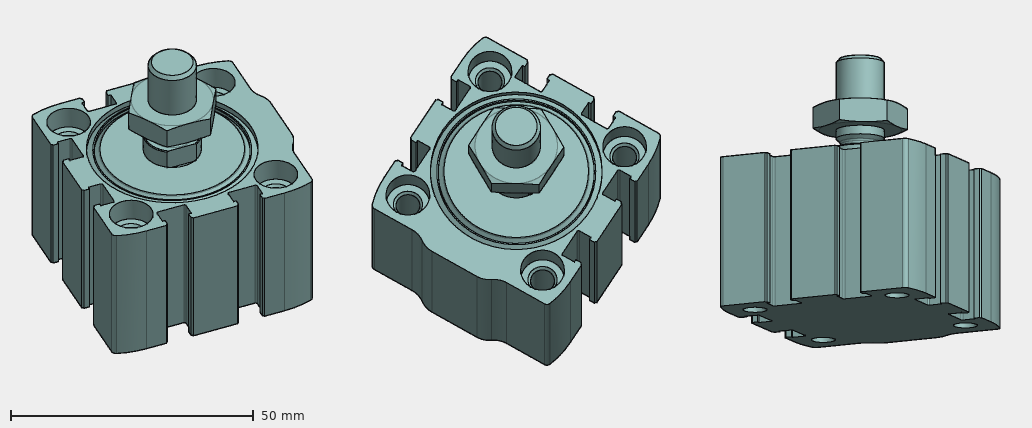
import cadquery as cq
import math

width = 45.0
half_width = width / 2
body_height = 31.5
side_flat_half = 15.5
side_curve_radius = 20.0
corner_radius = 1.0
pad_height = 2.0
pad_flat_half = 5.4
pad_foot_half = 11.4

slot_spacing = 16.0
slot_mouth = 5.3
slot_inner = 6.5
slot_depth = 4.7
slot_lip = 1.6
slot_radius = 0.35

mount_spacing = 32.5
counterbore_diameter = 9.0
counterbore_depth = 5.0
mount_hole_diameter = 4.92
mount_mouth_diameter = 6.0

recess_radius = 35.4 / 2
recess_depth = 1.3
ring_crest_radius = 16.4
ring_crest_drop = 0.5
ring_inner_radius = 16.1
cap_shoulder_radius = 15.1
cap_shoulder_drop = 0.35
cap_bevel_angle = 41.0
cap_face_radius = 14.9
cap_face_drop = 0.2

rod_diameter = 12.0
rod_embed = 10.0
collar_length = 4.0
collar_top = body_height + collar_length
collar_chamfer = 0.2
flats_width = 10.0
flats_length = 4.6
neck_radius = 8.1 / 2
neck_fillet = 0.6
thread_diameter = 10.0
thread_bottom = 37.7
rod_top = 54.5
tip_chamfer_height = 0.8
tip_chamfer_inset = 0.7

nut_across_flats = 17.0
nut_thickness = 5.0
nut_bottom = 39.5
nut_chamfer_angle = 15.0


def housing_block():
    """Extruded housing outline: curved corners and a port pad on +Y."""
    curve_run = half_width - side_flat_half
    curve_centre_x = half_width - side_curve_radius
    corner_x = curve_centre_x + math.sqrt(side_curve_radius**2 - curve_run**2)
    mid_x = curve_centre_x + math.sqrt(side_curve_radius**2 - (curve_run / 2) ** 2)
    mid_y = side_flat_half + curve_run / 2
    block = (
        cq.Workplane("XY")
        .moveTo(-corner_x, -half_width)
        .lineTo(corner_x, -half_width)
        .threePointArc((mid_x, -mid_y), (half_width, -side_flat_half))
        .lineTo(half_width, side_flat_half)
        .threePointArc((mid_x, mid_y), (corner_x, half_width))
        .lineTo(-corner_x, half_width)
        .threePointArc((-mid_x, mid_y), (-half_width, side_flat_half))
        .lineTo(-half_width, -side_flat_half)
        .threePointArc((-mid_x, -mid_y), (-corner_x, -half_width))
        .close()
        .extrude(body_height)
    )
    block = block.edges("|Z and (<Y or >Y)").fillet(corner_radius)
    return block.union(port_pad())


def port_pad():
    """Pad on the +Y side, blended into it by two equal, opposite arcs at each end."""
    pad_top = half_width + pad_height
    blend_run = pad_foot_half - pad_flat_half
    blend_radius = (blend_run**2 + pad_height**2) / (4 * pad_height)
    middle_x = (pad_flat_half + pad_foot_half) / 2
    middle_y = half_width + pad_height / 2
    return (
        cq.Workplane("XY")
        .moveTo(-pad_flat_half, pad_top)
        .lineTo(pad_flat_half, pad_top)
        .radiusArc((middle_x, middle_y), blend_radius)
        .radiusArc((pad_foot_half, half_width), -blend_radius)
        .lineTo(pad_foot_half, side_flat_half)
        .lineTo(-pad_foot_half, side_flat_half)
        .lineTo(-pad_foot_half, half_width)
        .radiusArc((-middle_x, middle_y), -blend_radius)
        .radiusArc((-pad_flat_half, pad_top), blend_radius)
        .close()
        .extrude(body_height)
    )


def t_slot():
    """Cutter for one T-slot opening toward -Y, centred on X = 0."""
    mouth_half = slot_mouth / 2
    inner_half = slot_inner / 2
    front_y = -half_width
    lip_y = front_y + slot_lip
    floor_y = front_y + slot_depth
    flare_half = mouth_half + slot_radius
    return (
        cq.Workplane("XY")
        .moveTo(-flare_half, front_y)
        .radiusArc((-mouth_half, front_y + slot_radius), slot_radius)
        .lineTo(-mouth_half, lip_y)
        .lineTo(-inner_half, lip_y)
        .lineTo(-inner_half, floor_y - slot_radius)
        .radiusArc((slot_radius - inner_half, floor_y), slot_radius)
        .lineTo(inner_half - slot_radius, floor_y)
        .radiusArc((inner_half, floor_y - slot_radius), slot_radius)
        .lineTo(inner_half, lip_y)
        .lineTo(mouth_half, lip_y)
        .lineTo(mouth_half, front_y + slot_radius)
        .radiusArc((flare_half, front_y), slot_radius)
        .close()
        .extrude(body_height)
    )


def mount_hole():
    """Cutter for one counterbored, countersunk through hole."""
    bore_radius = mount_hole_diameter / 2
    mouth_radius = mount_mouth_diameter / 2
    step_z = body_height - counterbore_depth
    return (
        cq.Workplane("XZ")
        .moveTo(0, 0)
        .lineTo(bore_radius, 0)
        .lineTo(bore_radius, step_z - (mouth_radius - bore_radius))
        .lineTo(mouth_radius, step_z)
        .lineTo(counterbore_diameter / 2, step_z)
        .lineTo(counterbore_diameter / 2, body_height)
        .lineTo(0, body_height)
        .close()
        .revolve(360, (0, 0), (0, 1))
    )


def end_cap_recess():
    """Recess cutter that leaves the retaining ring and the bevelled end cap."""
    bevel_run = ring_inner_radius - cap_shoulder_radius
    cap_foot_drop = cap_shoulder_drop + bevel_run * math.tan(math.radians(cap_bevel_angle))
    profile = [
        (0, 0),
        (0, cap_face_drop),
        (cap_face_radius, cap_face_drop),
        (cap_shoulder_radius, cap_shoulder_drop),
        (ring_inner_radius, cap_foot_drop),
        (ring_inner_radius, ring_crest_drop),
        (ring_crest_radius, ring_crest_drop),
        (recess_radius, recess_depth),
        (recess_radius, 0),
    ]
    return (
        cq.Workplane("XZ")
        .polyline([(radius, body_height - drop) for radius, drop in profile])
        .close()
        .revolve(360, (0, 0), (0, 1))
    )


def make_housing():
    """Housing with T-slots on three sides, four mounting holes and a socket for the rod."""
    housing = housing_block()
    for side_angle in (-90, 0, 90):
        for offset in (-slot_spacing / 2, slot_spacing / 2):
            slot = t_slot().translate((offset, 0, 0))
            housing = housing.cut(slot.rotate((0, 0, 0), (0, 0, 1), side_angle))
    for x in (-mount_spacing / 2, mount_spacing / 2):
        for y in (-mount_spacing / 2, mount_spacing / 2):
            housing = housing.cut(mount_hole().translate((x, y, 0)))
    housing = housing.cut(end_cap_recess())
    rod_socket = (
        cq.Workplane("XY", origin=(0, 0, body_height - rod_embed))
        .circle(rod_diameter / 2)
        .extrude(rod_embed)
    )
    return housing.cut(rod_socket)


def make_rod():
    """Piston rod: collar with two wrench flats, undercut neck, threaded end."""
    thread_radius = thread_diameter / 2
    rod_radius = rod_diameter / 2
    rod_bottom = body_height - rod_embed
    arc_height = neck_fillet * math.sin(math.pi / 4)
    cone_foot_radius = neck_radius + neck_fillet - arc_height
    cone_foot_z = thread_bottom - (thread_radius - cone_foot_radius)
    neck_top = cone_foot_z - arc_height
    rod = (
        cq.Workplane("XZ")
        .moveTo(0, rod_bottom)
        .lineTo(rod_radius, rod_bottom)
        .lineTo(rod_radius, collar_top - collar_chamfer)
        .lineTo(rod_radius - collar_chamfer, collar_top)
        .lineTo(neck_radius + neck_fillet, collar_top)
        .radiusArc((neck_radius, collar_top + neck_fillet), neck_fillet)
        .lineTo(neck_radius, neck_top)
        .radiusArc((cone_foot_radius, cone_foot_z), neck_fillet)
        .lineTo(thread_radius, thread_bottom)
        .lineTo(thread_radius, rod_top - tip_chamfer_height)
        .lineTo(thread_radius - tip_chamfer_inset, rod_top)
        .lineTo(0, rod_top)
        .close()
        .revolve(360, (0, 0), (0, 1))
    )
    for side in (-1, 1):
        flat_cutter = (
            cq.Workplane("XY", origin=(side * flats_width, 0, collar_top))
            .rect(flats_width, rod_diameter)
            .extrude(-flats_length)
        )
        rod = rod.cut(flat_cutter)
    return rod


def make_nut():
    """Hexagon nut with corners on the Y axis, bevelled on both faces."""
    hex_radius = nut_across_flats / math.sqrt(3)
    bevel_radius = nut_across_flats / 2
    bevel_height = (hex_radius - bevel_radius) * math.tan(math.radians(nut_chamfer_angle))
    nut = (
        cq.Workplane("XY", origin=(0, 0, nut_bottom))
        .polygon(6, 2 * hex_radius)
        .extrude(nut_thickness)
        .rotate((0, 0, 0), (0, 0, 1), 90)
    )
    nut_top = nut_bottom + nut_thickness
    bevel = (
        cq.Workplane("XZ")
        .moveTo(0, nut_bottom)
        .lineTo(bevel_radius, nut_bottom)
        .lineTo(hex_radius, nut_bottom + bevel_height)
        .lineTo(hex_radius, nut_top - bevel_height)
        .lineTo(bevel_radius, nut_top)
        .lineTo(0, nut_top)
        .close()
        .revolve(360, (0, 0), (0, 1))
    )
    bore = (
        cq.Workplane("XY", origin=(0, 0, nut_bottom))
        .circle(thread_diameter / 2)
        .extrude(nut_thickness)
    )
    return nut.intersect(bevel).cut(bore)


housing = make_housing()
rod = make_rod()
nut = make_nut()

result = cq.Compound.makeCompound([housing.val(), rod.val(), nut.val()])